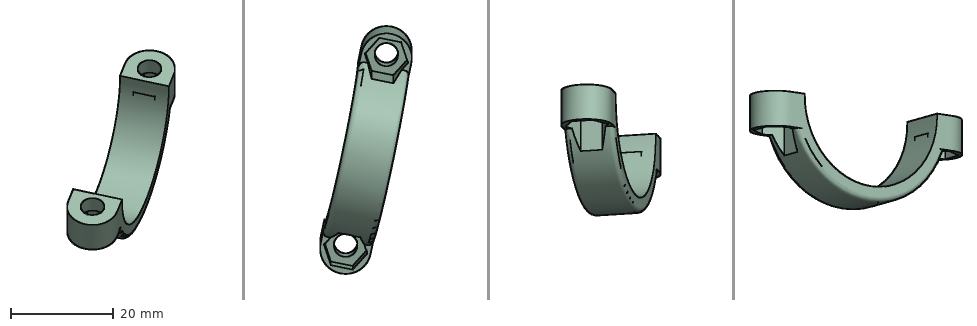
import cadquery as cq

length = 49.0
width = 10.0

ring_drop = 0.5
inner_radius = 16.0
outer_radius = 19.0
edge_fillet = 1.0

lug_height = 7.0
lug_end_radius = width / 2
bolt_offset = length / 2 - lug_end_radius
bolt_diameter = 4.6

nut_across_flats = 7.5
nut_pocket_depth = 3.5
hexagon_turn = 30


def x_cylinder(radius):
    """Solid cylinder on the ring axis, spanning the clamp width."""
    profile = cq.Workplane("YZ").center(0, -ring_drop).circle(radius)
    return profile.extrude(width / 2, both=True)


def make_strap():
    """Lower part of the rounded outer cylinder, up to the lug undersides."""
    drum = x_cylinder(outer_radius).edges("%CIRCLE").fillet(edge_fillet)
    below_lugs = cq.Workplane("XY").workplane(offset=-lug_height)
    keep = below_lugs.rect(width, length).extrude(-outer_radius)
    return drum.intersect(keep)


def make_lug_bar():
    """Round-ended bar that leaves one lug at each end after the bore is cut."""
    bar = cq.Workplane("XY").slot2D(length, width, angle=90)
    return bar.extrude(-lug_height)


def make_bolt_cut(side):
    """Bolt hole and nut pocket of the lug on the given Y side."""
    axis = cq.Workplane("XY").center(0, side * bolt_offset)
    hole = axis.circle(bolt_diameter / 2).extrude(-lug_height)
    roof_place = (0, 0, nut_pocket_depth - lug_height)
    pocket_roof = axis.transformed(offset=roof_place, rotate=(0, 0, hexagon_turn))
    pocket = pocket_roof.polygon(6, nut_across_flats, circumscribed=True).extrude(-outer_radius)
    return hole.union(pocket)


result = make_lug_bar().union(make_strap()).cut(x_cylinder(inner_radius))
for side in (-1, 1):
    result = result.cut(make_bolt_cut(side))